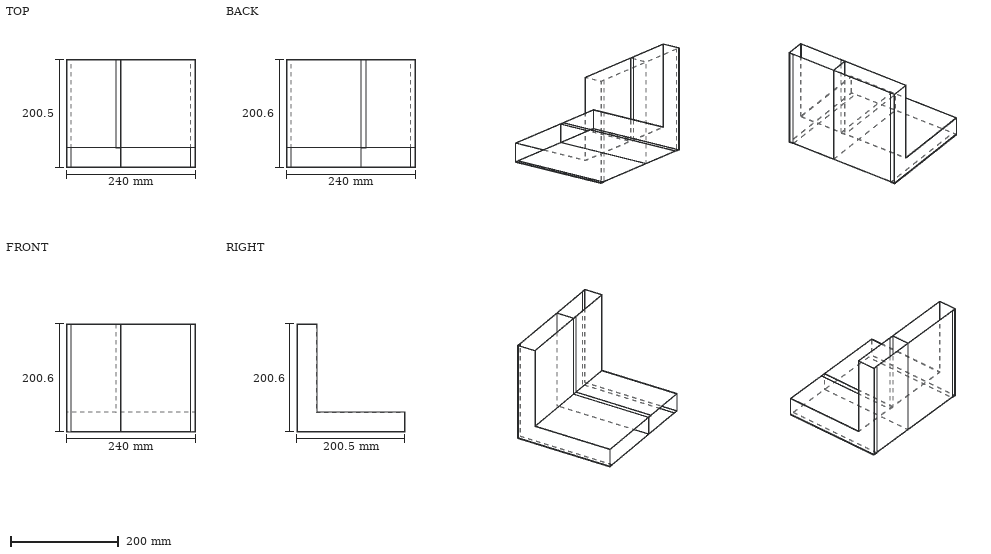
import cadquery as cq

width = 240.0
depth = 200.5
height = 200.6
sheet = 0.5
arm = 37.7
flange_width = 9.0
divider_x = 100.8
inner_bend = 1.0
side_bend = 0.5
shell_clearance = 1.2

outer_bend = inner_bend + sheet
shell_outside = sheet
shell_inside = shell_outside + sheet
shell_length = width - 2 * shell_clearance
arm_inside = arm - sheet


def l_solid(x, thickness, near, far):
    """L profile in YZ from the near corner to the far step, extruded along +X from x."""
    outline = [
        (near, near),
        (depth, near),
        (depth, far),
        (far, far),
        (far, height),
        (near, height),
    ]
    return cq.Workplane("YZ", origin=(x, 0, 0)).polyline(outline).close().extrude(thickness)


def bent_corner(x, length, near, radius):
    """Block that reaches the back and the top, rounded where front and bottom meet."""
    block = cq.Workplane("XY").box(length, depth - near, height - near, centered=False)
    block = block.translate((x, near, near))
    return block.edges("<Y and <Z").fillet(radius)


def make_left_side():
    """L-shaped panel with a flange bent around its front and bottom edges."""
    outside = l_solid(0, flange_width, 0, arm)
    outside = outside.edges("<Y and <Z").fillet(outer_bend)
    outside = outside.edges("(<X and <Y) or (<X and <Z)").fillet(side_bend)
    inside = bent_corner(sheet, flange_width, sheet, inner_bend)
    return outside.cut(inside)


def make_outer_shell():
    """Front and bottom in one bent sheet, between the side panels."""
    outside = bent_corner(shell_clearance, shell_length, shell_outside, outer_bend)
    inside = bent_corner(shell_clearance, shell_length, shell_inside, inner_bend)
    return outside.cut(inside)


def make_inner_shell():
    """Back of the upright arm and top of the flat arm in one sheet between the panels."""
    return l_solid(shell_clearance, shell_length, arm_inside, arm)


def make_divider():
    """L-shaped web between the shells with a flange against the hidden face of the inner shell."""
    web = l_solid(divider_x, sheet, shell_inside, arm_inside)
    web = web.edges("<Y and <Z").fillet(inner_bend)
    flange_x = divider_x + sheet - flange_width
    flange = l_solid(flange_x, flange_width, arm_inside - sheet, arm_inside)
    return web.union(flange)


left_side = make_left_side()
right_side = left_side.mirror("YZ").translate((width, 0, 0))
outer_shell = make_outer_shell()
inner_shell = make_inner_shell()
divider = make_divider()

bodies = [left_side, right_side, outer_shell, inner_shell, divider]
result = cq.Compound.makeCompound([body.solids().val() for body in bodies])